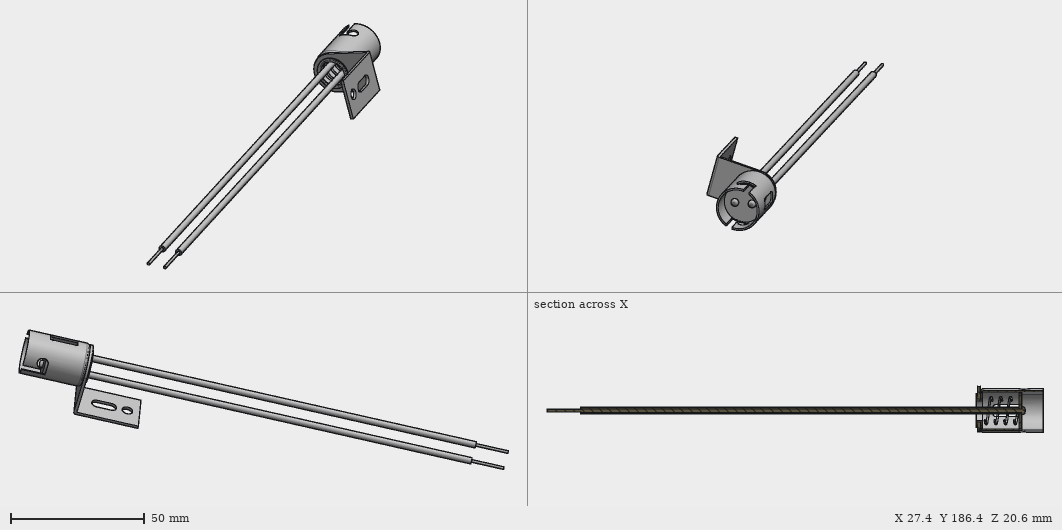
import cadquery as cq


shell_radius = 8.33
shell_wall = 0.7
shell_length = 23.6
shell_end_fillet = 1.3
bore_radius = shell_radius - shell_wall
end_wall_inner = shell_length - shell_wall

pin_slot_width = 2.2
pin_slot_left = -4.5
pin_slot_depth = 9.1
pin_seat_radius = 2.05
pin_seat_x = 0.2

window_start = 8.2
window_end = 18.8
window_height = 4.4
window_corner = 0.8

bracket_tilt = 15
bracket_thickness = 1.15
bracket_half_width = 8.0
bracket_bend_radius = 1.0
bracket_reach = 17.6
bracket_front = shell_length
bracket_back = bracket_front + bracket_thickness
leg_end = 48.6
fixing_width = 4.0
fixing_slot_length = 9.5
fixing_slot_position = 34.8
fixing_hole_position = 43.8

neck_bore_radius = 4.9
neck_radius = 5.5
lip_radius = 6.35
lip_thickness = 0.5

carrier_front = 8.05
carrier_thickness = 1.15
carrier_back = carrier_front + carrier_thickness
carrier_clearance = 0.1
carrier_recess_depth = 0.5
center_recess_diameter = 1.5
key_recess_width = 3.4
key_recess_height = 1.2
key_recess_z = 2.2

wire_offset = 3.37
wire_positions = (-wire_offset, wire_offset)
insulation_diameter = 2.5
insulation_end = 173.8
conductor_diameter = 1.1
conductor_end = 186.36
contact_diameter = 3.0
contact_height = 1.3
contact_fillet = 1.1

spring_wire_radius = 0.35
spring_radius = 5.0
spring_pitch = 3.65
spring_end_offset = 0.385


def cylinder(radius, start, end, x=0):
    """Solid cylinder along Y, from depth `start` to depth `end` below the mouth."""
    return cq.Workplane("XZ", origin=(x, -start, 0)).circle(radius).extrude(end - start)


def build_shell():
    body = cylinder(shell_radius, 0, shell_length).faces("<Y").edges().fillet(shell_end_fillet)
    body = body.union(cylinder(neck_radius, shell_length, bracket_back))
    body = body.union(cylinder(lip_radius, bracket_back, bracket_back + lip_thickness))
    body = body.cut(cylinder(bore_radius, 0, end_wall_inner))
    body = body.cut(cylinder(neck_bore_radius, end_wall_inner, bracket_back + lip_thickness))
    for turn in (0, 180):
        body = body.cut(bayonet_slot().rotate((0, 0, 0), (0, 1, 0), turn))
    return body.cut(side_window())


def bayonet_slot():
    """J-shaped slot: straight in from the mouth, then sideways to a round pin seat."""
    seat_y = pin_seat_radius - pin_slot_depth
    slot_top = pin_slot_width - pin_slot_depth
    entry = cq.Workplane("XY").rect(pin_slot_width, pin_slot_depth).extrude(shell_radius)
    entry = entry.translate((pin_slot_left + pin_slot_width / 2, -pin_slot_depth / 2, 0))
    across_width = pin_seat_x - pin_slot_left
    across = cq.Workplane("XY").rect(across_width, pin_slot_width).extrude(shell_radius)
    across = across.translate((pin_slot_left + across_width / 2, slot_top - pin_slot_width / 2, 0))
    seat = cq.Workplane("XY").center(pin_seat_x, seat_y).circle(pin_seat_radius).extrude(shell_radius)
    return entry.union(across).union(seat)


def side_window():
    """Rounded rectangular bar along X that opens the window in the -X side of the shell."""
    length = window_end - window_start
    bar = cq.Workplane("XY").box(2 * shell_radius, length, window_height)
    bar = bar.edges("|X").fillet(window_corner)
    return bar.translate((-shell_radius, -(window_start + window_end) / 2, 0))


def build_bracket():
    """L-bracket built level and then tilted about the socket axis."""
    width = 2 * bracket_half_width
    plate = cylinder(bracket_half_width, bracket_front, bracket_back)
    arm = cq.Workplane("XY").box(bracket_reach, bracket_thickness, width, centered=(False, False, True))
    arm = arm.translate((0, -bracket_back, 0))
    leg_length = leg_end - bracket_front
    leg = cq.Workplane("XY").box(bracket_thickness, leg_length, width, centered=(False, False, True))
    leg = leg.translate((bracket_reach - bracket_thickness, -leg_end, 0))
    angle = arm.union(leg)
    angle = angle.edges("|Z and >X and >Y").fillet(bracket_bend_radius)
    body = plate.union(angle)
    body = body.cut(cylinder(neck_radius, bracket_front, bracket_back))
    fixings = cq.Workplane("YZ").center(-fixing_slot_position, 0).slot2D(fixing_slot_length, fixing_width)
    fixings = fixings.extrude(bracket_reach)
    hole = cq.Workplane("YZ").center(-fixing_hole_position, 0).circle(fixing_width / 2).extrude(bracket_reach)
    fixings = fixings.union(hole).translate((bracket_reach / 2, 0, 0))
    return body.cut(fixings).rotate((0, 0, 0), (0, 1, 0), -bracket_tilt)


def build_carrier():
    """Disc with a round and a rectangular recess in its rear face."""
    body = cylinder(bore_radius - carrier_clearance, carrier_front, carrier_back)
    recess_floor = carrier_back - carrier_recess_depth
    body = body.cut(cylinder(center_recess_diameter / 2, recess_floor, carrier_back))
    key_recess = cq.Workplane("XZ", origin=(0, -recess_floor, key_recess_z))
    key_recess = key_recess.rect(key_recess_width, key_recess_height).extrude(carrier_recess_depth)
    body = body.cut(key_recess)
    for x in wire_positions:
        body = body.cut(cylinder(conductor_diameter / 2, carrier_front, carrier_back, x))
    return body


def build_insulation(x):
    tube = cylinder(insulation_diameter / 2, carrier_back, insulation_end, x)
    return tube.cut(cylinder(conductor_diameter / 2, carrier_back, insulation_end, x))


def build_conductor(x):
    """Wire core with the contact head at its front end."""
    contact = cylinder(contact_diameter / 2, carrier_front - contact_height, carrier_front, x)
    contact = contact.faces(">Y").edges().fillet(contact_fillet)
    return contact.union(cylinder(conductor_diameter / 2, carrier_front, conductor_end, x))


def build_spring():
    """Helical compression spring between the carrier and the end wall of the shell."""
    height = end_wall_inner - carrier_back - 2 * spring_end_offset
    path = cq.Workplane(cq.Wire.makeHelix(spring_pitch, height, spring_radius))
    coil = cq.Workplane("XZ").center(spring_radius, 0).circle(spring_wire_radius).sweep(path, isFrenet=True)
    coil = coil.rotate((0, 0, 0), (1, 0, 0), 90)
    return coil.rotate((0, 0, 0), (0, 1, 0), 180).translate((0, -carrier_back - spring_end_offset, 0))


shell = build_shell()
bracket = build_bracket()
carrier = build_carrier()
spring = build_spring()
insulations = [build_insulation(x).val() for x in wire_positions]
conductors = [build_conductor(x).val() for x in wire_positions]

result = cq.Compound.makeCompound(
    [shell.val(), bracket.val(), carrier.val(), spring.val(), *insulations, *conductors]
)